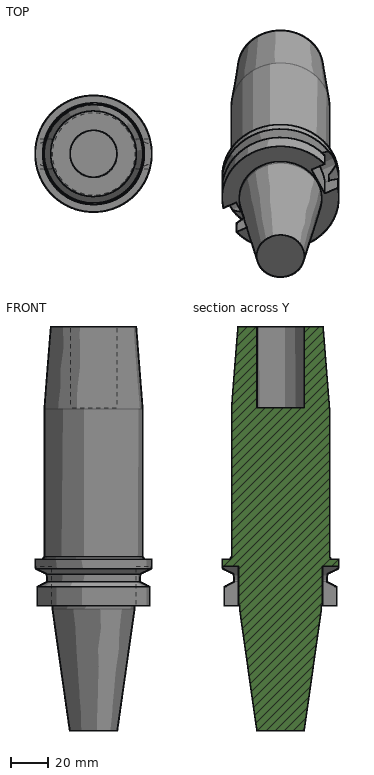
import cadquery as cq

total_height = 217.8
taper_height = 65.8
flange_bottom = 67.3
flange_top = 92.5
groove_start = 77.5
groove_end = 87.3
collar_top = 93.9
nose_start = 173.5

taper_small_radius = 12.9
taper_large_radius = 22.2
flange_radius = 31.5
groove_radius = 26.4
collar_radius = 27.5
body_radius = 26.5
nose_radius = 23.0

groove_bevel = 2.8

slot_width = 16.1
slot_top = 88.6
slot_floor_distance = 22.7

bore_radius = 12.6
bore_depth = 43.5


def make_holder_body():
    """Revolve the taper, grooved flange, cylindrical body and conical nose."""
    profile = [
        (0, 0),
        (taper_small_radius, 0),
        (taper_large_radius, taper_height),
        (taper_large_radius, flange_bottom),
        (flange_radius, flange_bottom),
        (flange_radius, groove_start),
        (groove_radius, groove_start + groove_bevel),
        (groove_radius, groove_end - groove_bevel),
        (flange_radius, groove_end),
        (flange_radius, flange_top),
        (collar_radius, flange_top),
        (body_radius, collar_top),
        (body_radius, nose_start),
        (nose_radius, total_height),
        (0, total_height),
    ]
    return cq.Workplane("XZ").polyline(profile).close().revolve(360, (0, 0), (0, 1))


def make_drive_slot(side):
    """Round-topped cutter, open at the flange bottom; side is -1 or +1 along X."""
    half_width = slot_width / 2
    arc_center_height = slot_top - half_width
    return (
        cq.Workplane("YZ", origin=(side * slot_floor_distance, 0, 0))
        .moveTo(-half_width, flange_bottom)
        .lineTo(half_width, flange_bottom)
        .lineTo(half_width, arc_center_height)
        .threePointArc((0, slot_top), (-half_width, arc_center_height))
        .close()
        .extrude(side * flange_radius)
    )


result = make_holder_body()

for side in (-1, 1):
    result = result.cut(make_drive_slot(side))

bore = (
    cq.Workplane("XY", origin=(0, 0, total_height - bore_depth))
    .circle(bore_radius)
    .extrude(bore_depth)
)
result = result.cut(bore)